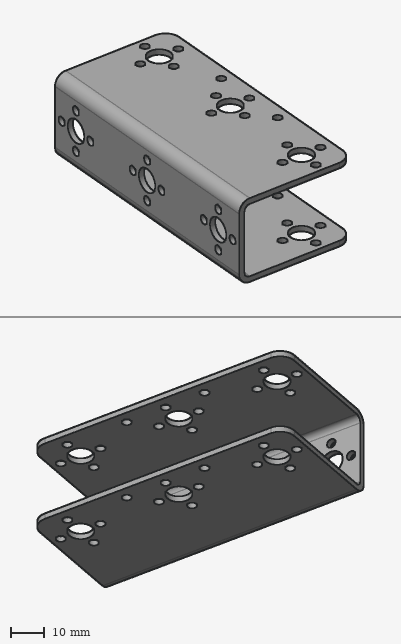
import cadquery as cq

length = 90.0
depth = 42.0
height = 29.0

thickness = 2.0
bend_radius = 4.0
corner_radius = 5.0

bore_diameter = 8.0
screw_diameter = 3.0
screw_offset = 7.0
group_pitch = 34.7
flange_group_setback = 11.25

extra_screw_spacing = 13.8

group_positions = [-group_pitch, 0, group_pitch]
screw_offsets = [(screw_offset, 0), (-screw_offset, 0), (0, screw_offset), (0, -screw_offset)]
flange_group_y = depth / 2 - flange_group_setback


def block(x_size, y_size, z_size):
    """Box centred on the origin."""
    return cq.Workplane("XY").box(x_size, y_size, z_size)


def channel():
    """Bent sheet with the web on the -Y side, open towards +Y."""
    outer = block(length, depth, height).edges("|X and <Y").fillet(bend_radius)
    inner = (
        block(length, depth, height - 2 * thickness)
        .edges("|X and <Y")
        .fillet(bend_radius - thickness)
        .translate((0, thickness, 0))
    )
    return outer.cut(inner).edges("|Z and >Y").fillet(corner_radius)


def hole_groups(plane, row_position, cut_length):
    """Row of three hole groups as solid cylinders, symmetric about the plane."""
    bore_centres = [(x, row_position) for x in group_positions]
    screw_centres = [(x + dx, y + dy) for x, y in bore_centres for dx, dy in screw_offsets]
    bores = cq.Workplane(plane).pushPoints(bore_centres).circle(bore_diameter / 2)
    screws = cq.Workplane(plane).pushPoints(screw_centres).circle(screw_diameter / 2)
    return bores.extrude(cut_length, both=True).union(screws.extrude(cut_length, both=True))


def extra_screw_holes():
    """Two screw holes through both flanges, level with the rear screw holes."""
    row_y = flange_group_y + screw_offset
    centres = [(-extra_screw_spacing, row_y), (extra_screw_spacing, row_y)]
    return cq.Workplane("XY").pushPoints(centres).circle(screw_diameter / 2).extrude(height, both=True)


result = (
    channel()
    .cut(hole_groups("XY", flange_group_y, height))
    .cut(hole_groups("XZ", 0, depth))
    .cut(extra_screw_holes())
)